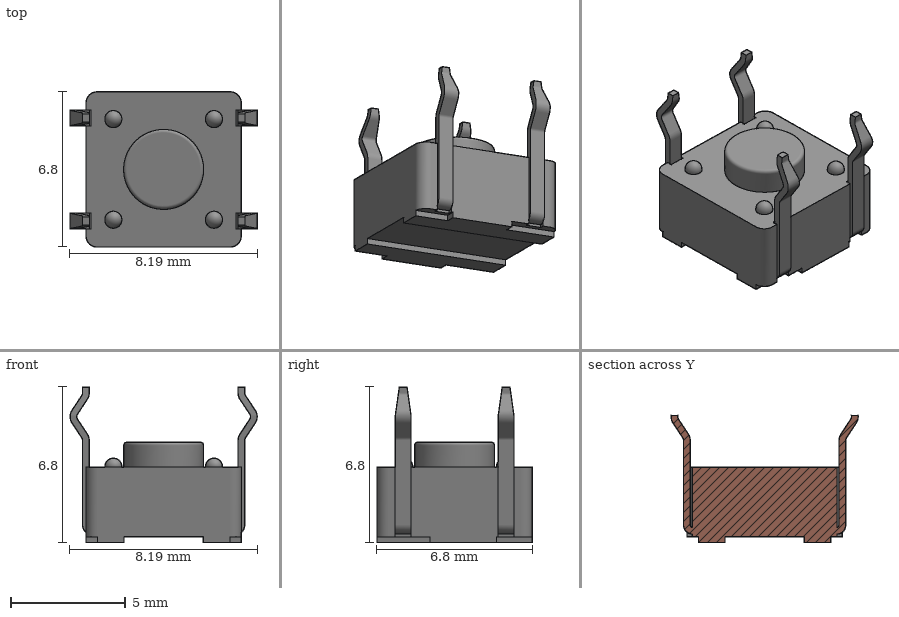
import cadquery as cq
import math


body_side = 6.8
body_top = 3.3
corner_radius = 0.5

foot_height = 0.25
rail_inner_x = 1.73
rail_outer_x = body_side / 2 - corner_radius
tab_y_min = -1.07
tab_y_max = 1.83

button_diameter = 3.5
button_top = 4.4
button_edge_radius = 0.15

dome_diameter = 0.75
dome_top = 3.7
dome_offset = 2.2

lead_thickness = 0.3
lead_width = 0.7
lead_tip_width = 0.35
lead_outer_x = 3.55
lead_mid_x = lead_outer_x - lead_thickness / 2
lead_spacing_y = 4.5
lead_top = 6.8
lead_bottom = 0.37
lead_root_x = 3.0
lead_root_z = lead_bottom + lead_thickness / 2
foot_bend_radius = 0.25

kink_mid_z = 5.51
kink_start_z = 4.475
lead_span_x = 8.19
kink_peak_x = lead_span_x / 2
kink_bend_radius = 0.35
kink_angle = math.radians(33)
taper_start_z = 5.55

slot_inner_x = 3.17


def make_box(x_range, y_range, z_range):
    """Axis-aligned box spanning the given (low, high) ranges."""
    size = [high - low for low, high in (x_range, y_range, z_range)]
    corner = (x_range[0], y_range[0], z_range[0])
    return cq.Workplane("XY").box(*size, centered=False).translate(corner)


def make_housing():
    height = body_top - foot_height
    block = cq.Workplane("XY").workplane(offset=foot_height).rect(body_side, body_side).extrude(height)
    return block.edges("|Z").fillet(corner_radius)


def make_foot():
    """Rail along Y on the +X side, with a tab reaching the housing side."""
    half_side = body_side / 2
    z_range = (0, foot_height)
    rail = make_box((rail_inner_x, rail_outer_x), (-half_side, half_side), z_range)
    tab = make_box((rail_inner_x, half_side), (tab_y_min, tab_y_max), z_range)
    return rail.union(tab)


def make_button():
    height = button_top - body_top
    button = cq.Workplane("XY").workplane(offset=body_top).circle(button_diameter / 2).extrude(height)
    return button.faces(">Z").edges().fillet(button_edge_radius)


def make_domes():
    radius = dome_diameter / 2
    layer = cq.Workplane("XY").workplane(offset=dome_top - radius)
    return layer.rect(2 * dome_offset, 2 * dome_offset, forConstruction=True).vertices().sphere(radius)


def make_lead_path():
    """Centreline of the +X lead in the XZ plane, from its root to its tip."""
    bend_x = kink_bend_radius * (1 - math.cos(kink_angle))
    bend_z = kink_bend_radius * math.sin(kink_angle)
    peak_mid_x = kink_peak_x - lead_thickness / 2
    low_bend_end = (lead_mid_x + bend_x, kink_start_z + bend_z)
    peak_start = (peak_mid_x - bend_x, kink_mid_z - bend_z)
    peak_end = (peak_start[0], kink_mid_z + bend_z)
    kink_end_z = 2 * kink_mid_z - kink_start_z
    high_bend_start = (low_bend_end[0], kink_end_z - bend_z)
    return (
        cq.Workplane("XZ")
        .moveTo(lead_root_x, lead_root_z)
        .lineTo(lead_mid_x - foot_bend_radius, lead_root_z)
        .tangentArcPoint((lead_mid_x, lead_root_z + foot_bend_radius), relative=False)
        .lineTo(lead_mid_x, kink_start_z)
        .tangentArcPoint(low_bend_end, relative=False)
        .lineTo(*peak_start)
        .threePointArc((peak_mid_x, kink_mid_z), peak_end)
        .lineTo(*high_bend_start)
        .tangentArcPoint((lead_mid_x, kink_end_z), relative=False)
        .lineTo(lead_mid_x, lead_top)
    )


def make_lead():
    """Lead on the +X side, centred on y = 0, narrowing towards its tip."""
    root = cq.Workplane("YZ", origin=(lead_root_x, 0, lead_root_z))
    strip = root.rect(lead_width, lead_thickness).sweep(make_lead_path())
    half_width = lead_width / 2
    half_tip = lead_tip_width / 2
    outline = [
        (-half_width, 0),
        (half_width, 0),
        (half_width, taper_start_z),
        (half_tip, lead_top),
        (-half_tip, lead_top),
        (-half_width, taper_start_z),
    ]
    envelope = cq.Workplane("YZ").polyline(outline).close().extrude(body_side)
    return strip.intersect(envelope)


def make_lead_slot():
    """Cutter for the groove that holds the +X lead, centred on y = 0."""
    return make_box((slot_inner_x, body_side), (-lead_width / 2, lead_width / 2), (0, body_top))


def at_lead_places(shape):
    """The +X shape repeated at the four lead places."""
    shapes = []
    for y in (-lead_spacing_y / 2, lead_spacing_y / 2):
        placed = shape.translate((0, y, 0))
        shapes += [placed, placed.mirror("YZ")]
    return shapes


foot = make_foot()
result = make_housing().union(foot).union(foot.mirror("YZ"))
for slot in at_lead_places(make_lead_slot()):
    result = result.cut(slot)
result = result.union(make_button()).union(make_domes())
for lead in at_lead_places(make_lead()):
    result = result.union(lead)